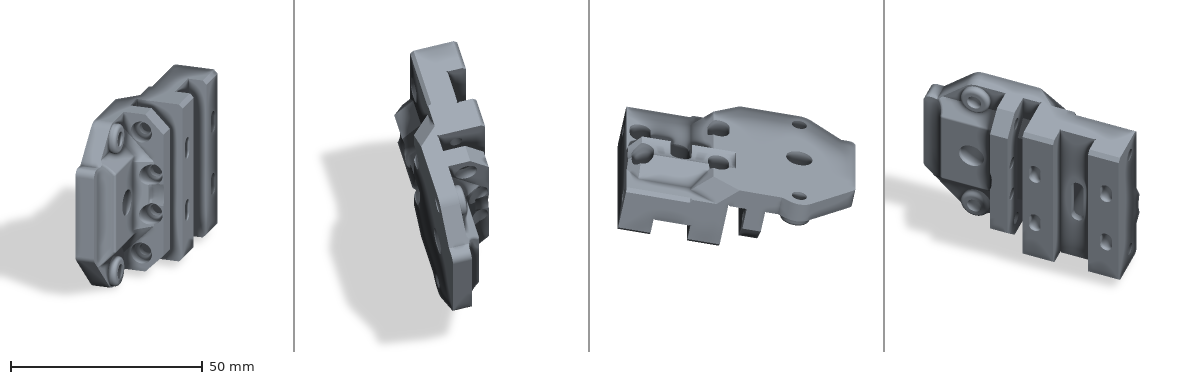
import cadquery as cq
import math

LENGTH = 59.95
WIDTH = 18.0
HEIGHT = 44.0
MID_Z = HEIGHT / 2
PLATE = 5.15
MARGIN = 3.0

MOTOR_Y = 15.0
SCREW_Z = (2.4, 39.5)
EAR_RADIUS = 4.5
NOSE_LOW_Z = 10.4
NOSE_HIGH_Z = 35.4
NOSE_STEP_Y = 3.85
NOSE_ROUND = 1.9
EAR_START_Y = 19.65
MOTOR_HOLE = 7.0
SCREW_HOLE = 4.0
SCREW_PAD = 8.0
SCREW_PAD_HEIGHT = 1.9
SCREW_PAD_ROUND = 0.95

CLAMP_Y = 32.9
CLAMP_BEVEL = 1.0
NOTCH_X = 12.9
NOTCH_Y = (41.5, 51.3)
RELIEF_RADIUS = 0.25

RECESS_Y = 37.8
RECESS_CORNER_Z = 38.95
RECESS_SPREAD = 6.95
EDGE_BEVEL = 0.95
EDGE_BEVEL_RUNOUT = 0.6

SADDLE_Z = 15.45
SADDLE_HALF = 4.25
SADDLE_SPREAD = 4.9
SADDLE_BEND_Y = 56.85
SADDLE_END_HALF = 3.3
CHANNEL_START_Y = 31.9
CHANNEL_DEPTH = 0.7

SLOT_FLOOR_X = 11.05
SLOT_RIM = 1.15
SLOT_WIDTH = 3.3
SLOT_LENGTH = 5.9
SLOT_YS = (36.4, 56.35)
SLOT_OFFSET_Z = 8.7
LONG_SLOT_Y = 46.35
LONG_SLOT_Z = 19.9
LONG_SLOT_WIDTH = 3.4
LONG_SLOT_LENGTH = 13.35

RIB_X = 8.95
RIB_HALF = 14.75
RIB_FRONT_Y = 2.35
RIB_ROOT_X = 2.75
RIB_ROUND = 0.7
GUSSET_FILLET = 1.0
GUSSET_FOOT_DEPTH = 1.8
PICK_SLACK = 0.05

WALL_Y = (23.1, 28.0)
WALL_X = 16.2
WALL_CORNER = 5.05
GUSSET_START_Y = 19.8
GUSSET_START_X = 8.35
GUSSET_START_HALF = 12.75
GUSSET_END_X = 13.55
GUSSET_END_HALF = 17.4
MOTOR_RELIEF_RADIUS = 8.65
MOTOR_RELIEF_FILLET = 0.65
MOTOR_RELIEF_X = 12.35

BOLT_HOLE = 3.3
BOLT_HEAD = 5.8
BOLT_HEAD_FLOOR_Y = 26.1
OUTER_BOLT_X = 10.1
OUTER_BOLT_OFFSET = 16.95
INNER_BOLT_X = 13.05
INNER_BOLT_OFFSET = 5.5


def tangent_point(start, center, radius, side):
    """Point where a line from start touches a circle; side picks left (1) or right (-1)."""
    dy = start[0] - center[0]
    dz = start[1] - center[1]
    angle = math.atan2(dz, dy) + side * math.acos(radius / math.hypot(dy, dz))
    return (center[0] + radius * math.cos(angle), center[1] + radius * math.sin(angle))


def along_x(x):
    """Workplane whose local axes are (Y, Z) and which extrudes toward +X."""
    return cq.Workplane("YZ", origin=(x, 0, 0))


def along_y(y):
    """Workplane whose local axes are (X, Z); extrude a negative distance to go toward +Y."""
    return cq.Workplane("XZ", origin=(0, y, 0))


def box(x, y, z):
    """Box between pairs of limits."""
    size = (x[1] - x[0], y[1] - y[0], z[1] - z[0])
    return cq.Workplane("XY").box(*size, centered=False).translate((x[0], y[0], z[0]))


def mirrored(body):
    """The body together with its mirror image about the mid height."""
    return body.union(body.mirror("XY", (0, 0, MID_Z)))


def plate_prism(depth):
    low = (MOTOR_Y, SCREW_Z[0])
    high = (MOTOR_Y, SCREW_Z[1])
    step = (NOSE_STEP_Y, NOSE_HIGH_Z)
    ear_start = tangent_point((EAR_START_Y, 0), low, EAR_RADIUS, -1)
    ear_end = tangent_point((0, NOSE_LOW_Z), low, EAR_RADIUS, 1)
    shoulder = tangent_point(step, high, EAR_RADIUS, -1)
    bisector = (math.atan2(shoulder[1] - high[1], shoulder[0] - high[0]) + math.pi / 2) / 2
    shoulder_mid = (high[0] + EAR_RADIUS * math.cos(bisector), high[1] + EAR_RADIUS * math.sin(bisector))
    outline = (
        along_x(0)
        .moveTo(LENGTH, 0)
        .lineTo(EAR_START_Y, 0)
        .lineTo(*ear_start)
        .threePointArc((low[0], low[1] - EAR_RADIUS), ear_end)
        .lineTo(0, NOSE_LOW_Z)
        .lineTo(0, NOSE_HIGH_Z)
        .lineTo(*step)
        .lineTo(*shoulder)
        .threePointArc(shoulder_mid, (MOTOR_Y, HEIGHT))
        .lineTo(LENGTH, HEIGHT)
        .close()
    )
    return outline.extrude(depth).edges("|X and <Y").fillet(NOSE_ROUND)


def clamp_block():
    block = box((0, WIDTH), (CLAMP_Y, LENGTH), (0, HEIGHT))
    block = block.edges("|Y and >X").chamfer(CLAMP_BEVEL)
    block = block.cut(box((NOTCH_X, WIDTH + MARGIN), NOTCH_Y, (0, HEIGHT)))
    corners = [(NOTCH_X, NOTCH_Y[0]), (NOTCH_X, NOTCH_Y[1])]
    return block.cut(cq.Workplane("XY").pushPoints(corners).circle(RELIEF_RADIUS).extrude(HEIGHT))


def recess():
    def outline(x):
        flare = RECESS_SPREAD / (HEIGHT - RECESS_CORNER_Z) * MARGIN
        y = RECESS_Y + x
        points = [
            (LENGTH + 2 * MARGIN, HEIGHT + MARGIN),
            (y - RECESS_SPREAD - flare, HEIGHT + MARGIN),
            (y, RECESS_CORNER_Z),
            (y, HEIGHT - RECESS_CORNER_Z),
            (y - RECESS_SPREAD - flare, -MARGIN),
            (LENGTH + 2 * MARGIN, -MARGIN),
        ]
        return along_x(x).polyline(points).close().val()

    return cq.Workplane(cq.Solid.makeLoft([outline(0), outline(PLATE)], True))


def edge_bevels():
    outward = EDGE_BEVEL / math.sqrt(2)
    plane = cq.Plane(origin=(PLATE, 0, HEIGHT - EDGE_BEVEL), xDir=(0, 1, 0), normal=(1, 0, 1))
    start = RECESS_Y + PLATE
    points = [
        (start, 0),
        (LENGTH + MARGIN, 0),
        (LENGTH + MARGIN, outward),
        (start - EDGE_BEVEL_RUNOUT, outward),
    ]
    return mirrored(cq.Workplane(plane).polyline(points).close().extrude(MARGIN, both=True))


def saddle():
    def outline(y, top_x, half):
        foot = half + SADDLE_SPREAD * (PLATE - top_x) / PLATE
        return (
            along_y(y)
            .moveTo(PLATE, SADDLE_Z - foot)
            .lineTo(top_x, SADDLE_Z - half)
            .threePointArc((top_x + CHANNEL_DEPTH, SADDLE_Z), (top_x, SADDLE_Z + half))
            .lineTo(PLATE, SADDLE_Z + foot)
            .close()
        )

    straight = outline(RECESS_Y, 0, SADDLE_HALF).extrude(RECESS_Y - SADDLE_BEND_Y)
    drop = LENGTH - SADDLE_BEND_Y
    bend = cq.Solid.makeLoft(
        [
            outline(SADDLE_BEND_Y, 0, SADDLE_HALF).val(),
            outline(LENGTH, drop, SADDLE_END_HALF).val(),
        ],
        True,
    )
    return straight.union(cq.Workplane(bend))


def channel():
    return (
        along_y(CHANNEL_START_Y)
        .moveTo(0, SADDLE_Z - SADDLE_HALF)
        .threePointArc((CHANNEL_DEPTH, SADDLE_Z), (0, SADDLE_Z + SADDLE_HALF))
        .close()
        .extrude(CHANNEL_START_Y - SADDLE_BEND_Y)
    )


def stepped_slots(places, width, length):
    narrow = along_x(0).pushPoints(places).slot2D(length, width, 90).extrude(WIDTH)
    wide = along_x(0).pushPoints(places).slot2D(length + 2 * SLOT_RIM, width + 2 * SLOT_RIM, 90)
    return narrow.union(wide.extrude(SLOT_FLOOR_X))


def trapezoid(y, top_x, half, root_x=PLATE):
    """45 degree trapezoid from root_x to top_x; half is half its width at the plate's back face."""
    top = half - (top_x - PLATE)
    root = half - (root_x - PLATE)
    points = [
        (root_x, MID_Z - root),
        (top_x, MID_Z - top),
        (top_x, MID_Z + top),
        (root_x, MID_Z + root),
    ]
    return along_y(y).polyline(points).close()


def gusset():
    """Sloped block that leans on the front of the wall."""
    ends = [
        trapezoid(GUSSET_START_Y, GUSSET_START_X, GUSSET_START_HALF, RIB_ROOT_X).val(),
        trapezoid(WALL_Y[0], GUSSET_END_X, GUSSET_END_HALF, RIB_ROOT_X).val(),
    ]
    return cq.Workplane(cq.Solid.makeLoft(ends, True))


def rib():
    """Rib rooted inside the plate, with a scooped front, blended into the gusset."""
    body = trapezoid(RIB_FRONT_Y, RIB_X, RIB_HALF, RIB_ROOT_X).extrude(RIB_FRONT_Y - CLAMP_Y)
    scoop_radius = RIB_X - PLATE
    scoop = cq.Workplane("XY", origin=(RIB_X, RIB_FRONT_Y, -MARGIN))
    body = body.cut(scoop.circle(scoop_radius).extrude(HEIGHT + 2 * MARGIN)).union(gusset())

    gusset_foot = cq.selectors.BoxSelector(
        (RIB_ROOT_X, GUSSET_START_Y, 0),
        (RIB_X + PICK_SLACK, GUSSET_START_Y + GUSSET_FOOT_DEPTH, HEIGHT),
    )
    body = body.edges(gusset_foot).fillet(GUSSET_FILLET)

    front_rim = cq.selectors.BoxSelector(
        (PLATE + PICK_SLACK, RIB_FRONT_Y + PICK_SLACK, 0),
        (RIB_X + PICK_SLACK, MOTOR_Y, HEIGHT),
    )
    return body.edges(front_rim).fillet(RIB_ROUND)


def motor_relief():
    relief = along_x(MOTOR_RELIEF_X).center(MOTOR_Y, MID_Z).circle(MOTOR_RELIEF_RADIUS).extrude(WIDTH)
    return relief.faces("<X").edges().fillet(MOTOR_RELIEF_FILLET)


def wall():
    return box((PLATE, WALL_X), WALL_Y, (0, HEIGHT)).edges("|Y and >X").chamfer(WALL_CORNER)


def screw_pads():
    places = [(MOTOR_Y, z) for z in SCREW_Z]
    pads = along_x(PLATE).pushPoints(places).circle(SCREW_PAD / 2).extrude(SCREW_PAD_HEIGHT)
    return pads.faces(">X").edges().fillet(SCREW_PAD_ROUND)


def motor_holes():
    screws = along_x(0).pushPoints([(MOTOR_Y, z) for z in SCREW_Z]).circle(SCREW_HOLE / 2).extrude(WIDTH)
    return screws.union(along_x(0).center(MOTOR_Y, MID_Z).circle(MOTOR_HOLE / 2).extrude(WIDTH))


def bolt_holes(x, offset, end_y):
    """Pair of bolt holes from the gusset front to end_y, with heads sunk into the wall."""
    places = [(x, MID_Z - offset), (x, MID_Z + offset)]
    start = GUSSET_START_Y
    holes = along_y(start).pushPoints(places).circle(BOLT_HOLE / 2).extrude(start - end_y)
    heads = along_y(start).pushPoints(places).circle(BOLT_HEAD / 2).extrude(start - BOLT_HEAD_FLOOR_Y)
    return holes.union(heads)


corner_relief = cq.Workplane("XY").center(PLATE, CLAMP_Y).circle(RELIEF_RADIUS).extrude(HEIGHT)
slot_places = [(y, MID_Z + side * SLOT_OFFSET_Z) for y in SLOT_YS for side in (-1, 1)]

result = (
    plate_prism(PLATE)
    .union(clamp_block())
    .cut(recess())
    .cut(edge_bevels())
    .union(saddle())
    .cut(channel())
    .cut(corner_relief)
    .union(rib().intersect(plate_prism(WIDTH)))
    .union(wall())
    .cut(motor_relief())
    .union(screw_pads())
    .cut(stepped_slots(slot_places, SLOT_WIDTH, SLOT_LENGTH))
    .cut(stepped_slots([(LONG_SLOT_Y, LONG_SLOT_Z)], LONG_SLOT_WIDTH, LONG_SLOT_LENGTH))
    .cut(motor_holes())
    .cut(bolt_holes(OUTER_BOLT_X, OUTER_BOLT_OFFSET, LENGTH))
    .cut(bolt_holes(INNER_BOLT_X, INNER_BOLT_OFFSET, WALL_Y[1]))
)